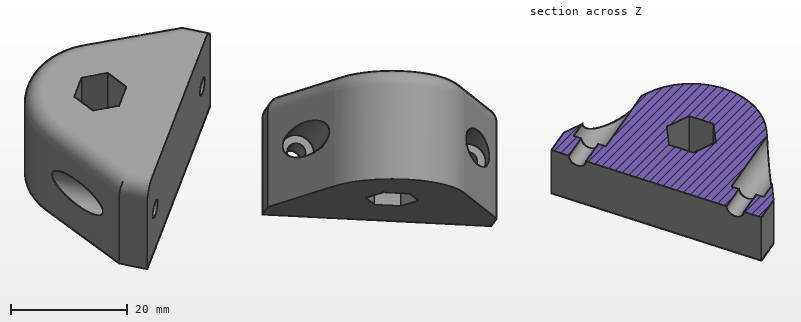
import cadquery as cq
import math

width = 40.0
height = 20.0
side_length = 5.0
nose_radius = 13.0
nose_center_x = -14.0
edge_radius = 3.0

hex_across_flats = 8.0

screw_spacing = 30.0
screw_diameter = 3.2
head_diameter = 6.1
screw_z = height / 2
head_seat_x = -side_length


def make_body():
    """Extrude the outline whose sloping sides are tangent to the nose."""
    half_width = width / 2
    corner_dx = -side_length - nose_center_x
    corner_distance = math.hypot(corner_dx, half_width)
    tangent_angle = math.atan2(half_width, corner_dx) + math.acos(nose_radius / corner_distance)
    tangent_x = nose_center_x + nose_radius * math.cos(tangent_angle)
    tangent_y = nose_radius * math.sin(tangent_angle)
    body = (
        cq.Workplane("XY")
        .moveTo(0, -half_width)
        .lineTo(0, half_width)
        .lineTo(-side_length, half_width)
        .lineTo(tangent_x, tangent_y)
        .threePointArc((nose_center_x - nose_radius, 0), (tangent_x, -tangent_y))
        .lineTo(-side_length, -half_width)
        .close()
        .extrude(height)
    )
    return body.faces(">Z").edges("not(>X)").fillet(edge_radius)


def make_hex_hole():
    """Through hole with flats facing +X and -X."""
    across_corners = hex_across_flats / math.cos(math.pi / 6)
    return (
        cq.Workplane("XY")
        .center(nose_center_x, 0)
        .transformed(rotate=(0, 0, 30))
        .polygon(6, across_corners)
        .extrude(height)
    )


def make_screw_hole(y):
    """Through hole along X, widened in front of the head seat."""
    front_x = nose_center_x - nose_radius
    start = cq.Workplane("YZ", origin=(front_x, y, screw_z))
    shank = start.circle(screw_diameter / 2).extrude(-front_x)
    head = start.circle(head_diameter / 2).extrude(head_seat_x - front_x)
    return shank.union(head)


result = make_body().cut(make_hex_hole())
for side in (-1, 1):
    result = result.cut(make_screw_hole(side * screw_spacing / 2))